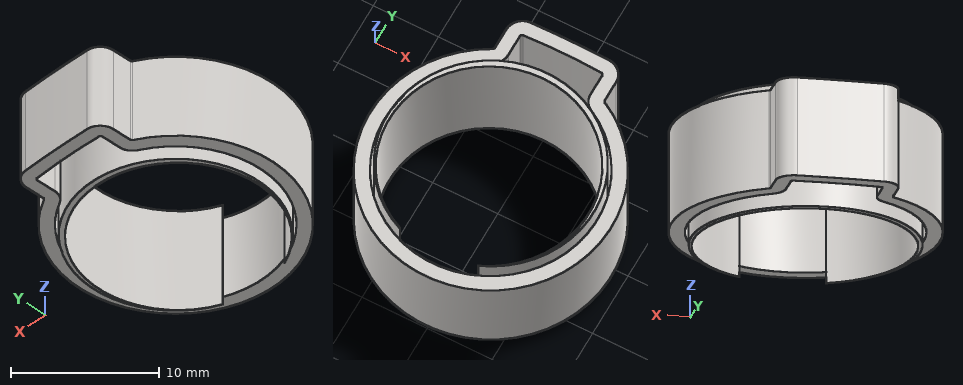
import cadquery as cq
import math

BAND_WIDTH = 7.0
BAND_OUTER_DIAMETER = 18.5
BAND_OUTER_RADIUS = BAND_OUTER_DIAMETER / 2
BAND_THICKNESS = 1.1
BAND_INNER_RADIUS = BAND_OUTER_RADIUS - BAND_THICKNESS

OVERALL_LENGTH = 20.5
EAR_TOP = OVERALL_LENGTH - BAND_OUTER_RADIUS
EAR_HALF_WIDTH = 4.22
EAR_WALL = 1.07
EAR_CROWN = 0.1
EAR_OUTER_CORNER_RADIUS = 1.27
EAR_INNER_CORNER_RADIUS = 0.16
NECK_OUTER_RADIUS = 0.16
NECK_INNER_RADIUS = 1.23
EDGE_SEARCH_MARGIN = 0.2

RING_WIDTH = 8.8
RING_OUTER_RADIUS = 7.89
RING_MAX_THICKNESS = 0.5
RING_BORE_SHIFT = RING_MAX_THICKNESS / 2
RING_BORE_RADIUS = RING_OUTER_RADIUS - RING_BORE_SHIFT
RING_GAP_WIDTH = 5.98


def ear_keyhole(radius, half_width, top, corner_radius, neck_radius, width):
    """Solid disc joined to an ear with a slightly crowned roof and rounded corners."""
    disc = cq.Workplane("XY").circle(radius).extrude(width / 2, both=True)
    ear = (
        cq.Workplane("XY")
        .moveTo(-half_width, 0)
        .lineTo(half_width, 0)
        .lineTo(half_width, top - EAR_CROWN)
        .threePointArc((0, top), (-half_width, top - EAR_CROWN))
        .close()
        .extrude(width / 2, both=True)
        .edges("|Z")
        .edges(">Y")
        .fillet(corner_radius)
    )
    neck_y = math.sqrt(radius**2 - half_width**2)
    neck_zone = cq.selectors.BoxSelector(
        (-half_width - EDGE_SEARCH_MARGIN, neck_y - EDGE_SEARCH_MARGIN, -width),
        (half_width + EDGE_SEARCH_MARGIN, neck_y + EDGE_SEARCH_MARGIN, width),
    )
    return disc.union(ear).edges("|Z").edges(neck_zone).fillet(neck_radius)


def make_band():
    """Band with an open ear: the inner keyhole is cut out of the outer one."""
    outside = ear_keyhole(
        BAND_OUTER_RADIUS,
        EAR_HALF_WIDTH,
        EAR_TOP,
        EAR_OUTER_CORNER_RADIUS,
        NECK_OUTER_RADIUS,
        BAND_WIDTH,
    )
    inside = ear_keyhole(
        BAND_INNER_RADIUS,
        EAR_HALF_WIDTH - EAR_WALL,
        EAR_TOP - EAR_WALL,
        EAR_INNER_CORNER_RADIUS,
        NECK_INNER_RADIUS,
        BAND_WIDTH,
    )
    return outside.cut(inside)


def make_ring():
    """Ring with an off-centre bore, opened by a gap at its thinnest point."""
    wall = (
        cq.Workplane("XY")
        .circle(RING_OUTER_RADIUS)
        .extrude(RING_WIDTH / 2, both=True)
    )
    gap = (
        cq.Workplane("XY")
        .center(0, -RING_OUTER_RADIUS)
        .rect(RING_GAP_WIDTH, RING_OUTER_RADIUS)
        .extrude(RING_WIDTH / 2, both=True)
    )
    bore = (
        cq.Workplane("XY")
        .center(0, -RING_BORE_SHIFT)
        .circle(RING_BORE_RADIUS)
        .extrude(RING_WIDTH / 2, both=True)
    )
    return wall.cut(gap).cut(bore)


band = make_band()
ring = make_ring()
result = cq.Compound.makeCompound([band.val(), ring.val()])